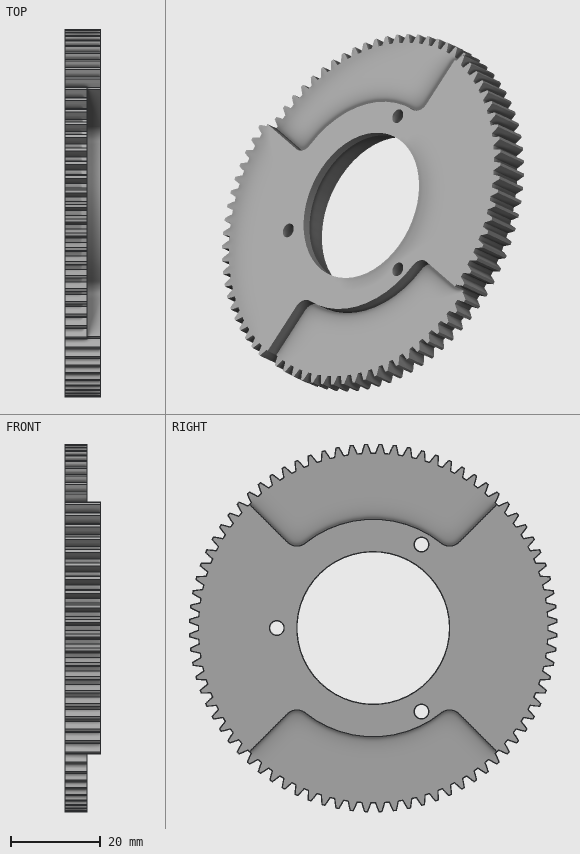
import cadquery as cq
import math

module = 1.0
tooth_count = 80
gear_width = 8.0

pitch_radius = module * tooth_count / 2
tip_radius = pitch_radius + module
root_radius = pitch_radius - module
tooth_pitch = 2 * math.pi / tooth_count

root_tooth_width = 2.04
pitch_tooth_width = 1.4
tip_tooth_width = 0.665

bore_radius = 17.0
seat_radius = 18.5
seat_depth = 6.0

hole_count = 3
hole_diameter = 3.2
hole_circle_radius = 21.5
first_hole_angle = 180.0

web_thickness = 5.0
pocket_depth = gear_width - web_thickness
hub_radius = 24.25
pocket_overrun = 5.0
pocket_half_angle = math.radians(45)
pocket_corner_radius = 3.0
pocket_outer_radius = tip_radius + pocket_overrun



def polar(radius, angle):
    """Point at a radius, with the angle measured from +Y towards +Z."""
    return (radius * math.cos(angle), radius * math.sin(angle))


def gear_blank():
    """Toothed disc with two flat facets on each flank, a tooth space centred on +Y."""
    root_half = root_tooth_width / 2 / root_radius
    pitch_half = pitch_tooth_width / 2 / pitch_radius
    tip_half = tip_tooth_width / 2 / tip_radius
    outline = cq.Workplane("YZ").moveTo(*polar(root_radius, tooth_pitch / 2 - root_half))
    for index in range(tooth_count):
        middle = (index + 0.5) * tooth_pitch
        space_middle = middle + tooth_pitch / 2
        next_root = middle + tooth_pitch - root_half
        outline = (
            outline
            .lineTo(*polar(pitch_radius, middle - pitch_half))
            .lineTo(*polar(tip_radius, middle - tip_half))
            .threePointArc(polar(tip_radius, middle), polar(tip_radius, middle + tip_half))
            .lineTo(*polar(pitch_radius, middle + pitch_half))
            .lineTo(*polar(root_radius, middle + root_half))
            .threePointArc(polar(root_radius, space_middle), polar(root_radius, next_root))
        )
    return outline.close().extrude(gear_width)


def stepped_bore():
    """Through bore with the wider seat at the front."""
    bore = cq.Workplane("YZ").circle(bore_radius).extrude(gear_width)
    seat = cq.Workplane("YZ").circle(seat_radius).extrude(seat_depth)
    return bore.union(seat)


def screw_holes():
    """Through holes equally spaced around the bore, the first one on -Y."""
    return (
        cq.Workplane("YZ")
        .polarArray(hole_circle_radius, first_hole_angle, 360, hole_count)
        .circle(hole_diameter / 2)
        .extrude(gear_width)
    )


def sector_pocket(direction):
    """Open pocket between the hub and the rim, centred on the given angle."""
    start = direction - pocket_half_angle
    end = direction + pocket_half_angle
    inner_corners = cq.selectors.BoxSelector(
        (web_thickness, -tip_radius, -hub_radius),
        (gear_width, tip_radius, hub_radius),
    )
    return (
        cq.Workplane("YZ", origin=(web_thickness, 0, 0))
        .moveTo(*polar(hub_radius, start))
        .lineTo(*polar(pocket_outer_radius, start))
        .threePointArc(polar(pocket_outer_radius, direction), polar(pocket_outer_radius, end))
        .lineTo(*polar(hub_radius, end))
        .threePointArc(polar(hub_radius, direction), polar(hub_radius, start))
        .close()
        .extrude(pocket_depth)
        .edges("|X")
        .edges(inner_corners)
        .fillet(pocket_corner_radius)
    )


result = gear_blank().cut(stepped_bore()).cut(screw_holes())
for pocket_direction in (math.pi / 2, -math.pi / 2):
    result = result.cut(sector_pocket(pocket_direction))